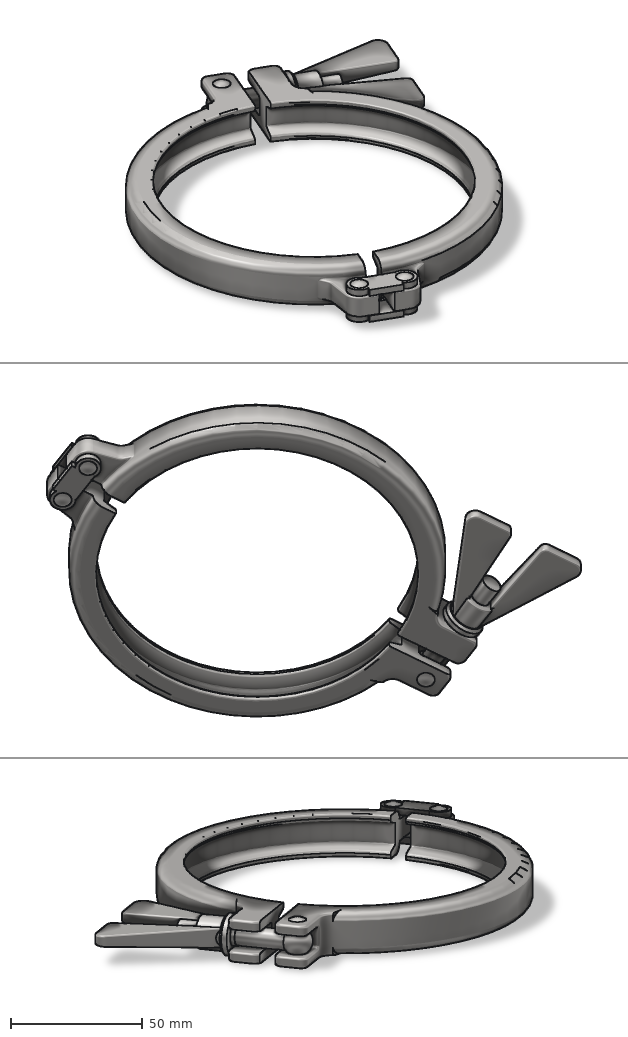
import cadquery as cq
import math

LENGTH = 194.6

RING_R = 143.5 / 2
RING_HALF_H = 8.5
RIM_ROUND_W = 4.3
RIM_ROUND_H = 3.3
BORE_R = 61.3
BORE_ROUND = 0.8
GROOVE_R = 66.8
GROOVE_FLOOR_HALF_H = 4.3
GROOVE_MOUTH_HALF_H = 6.0
GROOVE_FLOOR_R = 0.8
GROOVE_MOUTH_R = 1.2
GAP_HALF = 3.1

LUG_END_X = -90.0
LUG_TOP_Y = 16.0
LUG_CORNER_R = 3.0
LUG_GAP_CORNER_R = 3.7
LUG_OVERRUN = 0.8
LUG_EDGE_R = 1.2
LUG_BLEND_X = -73.8
LUG_ROOT_X = -64.0
LUG_ROOT_Y = 21.0
SLOT_HALF = 4.3
SLOT_END_X = -74.5
SLOT_END_R = 1.4
SLOT_EDGE_R = 1.0

HINGE_X = 81.5
HINGE_Y = 9.1
HINGE_LUG_R = 6.0
HINGE_HALF_H = 4.3
HINGE_SHOULDER_X = 72.2
HINGE_SHOULDER_Y = 17.5
HINGE_SHOULDER_R = 3.9
HINGE_RING_Y = 21.5
HINGE_EDGE_R = 0.8
HINGE_ROOT_R = 0.8

PIN_R = 6.8 / 2
PIN_DOME = 1.07

LINK_R = 4.9
LINK_T = 2.7
LINK_WAIST_X0 = 77.3
LINK_WAIST_X1 = 87.4

BOLT_X = -81.7
BOLT_R = 8.0 / 2
BOLT_PIVOT_Y = -9.7
BOLT_END_Y = 37.8
EYE_R = 5.8
COLLAR_L = 1.8
FLANGE_R = 16.5 / 2
FLANGE_T = 3.3
FLANGE_BEVEL = 1.2
BARREL_R = 13.5 / 2
BARREL_END_Y = 29.4
BARREL_ROUND = 0.8

WING_ROOT_Y = LUG_TOP_Y + FLANGE_T - FLANGE_BEVEL
WING_TOP_Y = 64.2
WING_LEAN = math.radians(25.7)
WING_OUTER_R = 3.9
WING_INNER_R = 2.5
WING_INNER_TOP = 6.8
WING_INNER_LOW = 4.7
WING_TOP_HALF_T = 2.1
WING_ROOT_HALF_T = 4.0
WING_EDGE_R = 0.8

WING_REACH = LENGTH - (HINGE_X + HINGE_LUG_R) + BOLT_X
WING_CORNER_SETBACK = WING_OUTER_R / math.tan((math.pi / 2 - WING_LEAN) / 2)
WING_OUTER_TOP = WING_REACH + WING_CORNER_SETBACK - WING_OUTER_R
WING_OUTER_ROOT = WING_OUTER_TOP - (WING_TOP_Y - WING_ROOT_Y) * math.tan(WING_LEAN)

PICK = 0.2
REACH = 2 * RING_R


def block(x0, x1, y0, y1, z0, z1):
    """Axis-aligned box between the given limits."""
    return cq.Workplane("XY").box(x1 - x0, y1 - y0, z1 - z0, centered=False).translate((x0, y0, z0))


def edge_box(x0, x1, y0, y1, half_z):
    """Selector for edges whose centre lies in a box, symmetric in Z and grown by a small margin."""
    return cq.selectors.BoxSelector((x0 - PICK, y0 - PICK, -half_z - PICK), (x1 + PICK, y1 + PICK, half_z + PICK))


def on_circle(x, y, radius, angle):
    """Point on a circle around (x, y)."""
    return (x + radius * math.cos(angle), y + radius * math.sin(angle))


def upper_half():
    """Everything beyond the gap on the +Y side."""
    return block(-REACH, REACH, GAP_HALF, REACH, -REACH, REACH)


def pin(x, y, half_length):
    """Round pin along Z with a shallow dome standing out at each end."""
    tip = half_length + PIN_DOME
    dome_r = (PIN_R**2 + PIN_DOME**2) / (2 * PIN_DOME)
    half_angle = math.asin(PIN_R / dome_r) / 2
    mid_r = dome_r * math.sin(half_angle)
    mid_z = tip - dome_r * (1 - math.cos(half_angle))
    return (
        cq.Workplane("XZ")
        .moveTo(0, -tip)
        .threePointArc((mid_r, -mid_z), (PIN_R, -half_length))
        .lineTo(PIN_R, half_length)
        .threePointArc((mid_r, mid_z), (0, tip))
        .close()
        .revolve(360, (0, 0, 0), (0, 1, 0))
        .translate((x, y, 0))
    )



def ring():
    """Solid disc whose rims curve down from the flat faces and meet the outside at a crease."""
    round_r = (RIM_ROUND_W**2 + RIM_ROUND_H**2) / (2 * RIM_ROUND_H)
    half_angle = math.asin(RIM_ROUND_W / round_r) / 2
    flat_r = RING_R - RIM_ROUND_W
    mid_r = flat_r + round_r * math.sin(half_angle)
    mid_z = RING_HALF_H - round_r * (1 - math.cos(half_angle))
    crease_z = RING_HALF_H - RIM_ROUND_H
    return (
        cq.Workplane("XZ")
        .moveTo(0, -RING_HALF_H)
        .lineTo(flat_r, -RING_HALF_H)
        .threePointArc((mid_r, -mid_z), (RING_R, -crease_z))
        .lineTo(RING_R, crease_z)
        .threePointArc((mid_r, mid_z), (flat_r, RING_HALF_H))
        .lineTo(0, RING_HALF_H)
        .close()
        .revolve(360, (0, 0, 0), (0, 1, 0))
    )


def bore():
    """Inside of the ring: flared rims, and a groove with sloping flanks and rounded edges."""
    rim_r = BORE_R + BORE_ROUND
    rim_z = RING_HALF_H - BORE_ROUND
    bend = BORE_ROUND * math.sqrt(0.5)
    body = (
        cq.Workplane("XZ")
        .moveTo(0, -RING_HALF_H)
        .lineTo(rim_r, -RING_HALF_H)
        .threePointArc((rim_r - bend, -rim_z - bend), (BORE_R, -rim_z))
        .lineTo(BORE_R, -GROOVE_MOUTH_HALF_H)
        .lineTo(GROOVE_R, -GROOVE_FLOOR_HALF_H)
        .lineTo(GROOVE_R, GROOVE_FLOOR_HALF_H)
        .lineTo(BORE_R, GROOVE_MOUTH_HALF_H)
        .lineTo(BORE_R, rim_z)
        .threePointArc((rim_r - bend, rim_z + bend), (rim_r, RING_HALF_H))
        .lineTo(0, RING_HALF_H)
        .close()
        .revolve(360, (0, 0, 0), (0, 1, 0))
    )
    for half_h, rounding in (
        (GROOVE_FLOOR_HALF_H, GROOVE_FLOOR_R),
        (GROOVE_MOUTH_HALF_H, GROOVE_MOUTH_R),
    ):
        for z in (half_h, -half_h):
            groove_edge = cq.selectors.NearestToPointSelector((0, 0, z))
            body = body.edges("%CIRCLE").edges(groove_edge).fillet(rounding)
    return body


def clamp_lug():
    """Forked lug whose outer side curves tangentially into the ring."""
    blend_r = (LUG_BLEND_X**2 + LUG_TOP_Y**2 - RING_R**2) / (2 * (RING_R - LUG_TOP_Y))
    blend_y = LUG_TOP_Y + blend_r
    blend_direction = math.atan2(blend_y, LUG_BLEND_X)
    touch = on_circle(0, 0, RING_R, blend_direction)
    mid_angle = (blend_direction - math.pi - math.pi / 2) / 2
    blend_mid = on_circle(LUG_BLEND_X, blend_y, blend_r, mid_angle)
    near_y = GAP_HALF - LUG_OVERRUN
    lug = (
        cq.Workplane("XY")
        .moveTo(LUG_ROOT_X, near_y)
        .lineTo(LUG_END_X, near_y)
        .lineTo(LUG_END_X, LUG_TOP_Y)
        .lineTo(LUG_BLEND_X, LUG_TOP_Y)
        .threePointArc(blend_mid, touch)
        .lineTo(LUG_ROOT_X, LUG_ROOT_Y)
        .close()
        .extrude(RING_HALF_H, both=True)
    )
    lug = lug.edges("|Z and <X").edges(">Y").fillet(LUG_CORNER_R)
    lug = lug.edges("|Z and <X").fillet(LUG_GAP_CORNER_R)
    lug = lug.faces("<X").edges("|Y").fillet(LUG_EDGE_R)

    slot = block(-REACH, SLOT_END_X, -REACH, REACH, -SLOT_HALF, SLOT_HALF)
    lug = lug.cut(slot.edges("|Y and >X").fillet(SLOT_END_R))
    slot_mouth = edge_box(LUG_END_X, LUG_END_X, near_y, LUG_TOP_Y, SLOT_HALF)
    lug = lug.edges("|Y").edges(slot_mouth).fillet(SLOT_EDGE_R)
    return lug.intersect(upper_half())


def hinge_lug():
    """Flat knuckle around the hinge pin, with a sloping side that runs into the ring."""
    dx = HINGE_SHOULDER_X - HINGE_X
    dy = HINGE_SHOULDER_Y - HINGE_Y
    tangent_angle = math.atan2(dy, dx) - math.acos(HINGE_LUG_R / math.hypot(dx, dy))
    end_x = HINGE_X + HINGE_LUG_R
    lug = (
        cq.Workplane("XY")
        .moveTo(GROOVE_R, 0)
        .lineTo(end_x, 0)
        .lineTo(end_x, HINGE_Y)
        .threePointArc(
            on_circle(HINGE_X, HINGE_Y, HINGE_LUG_R, tangent_angle / 2),
            on_circle(HINGE_X, HINGE_Y, HINGE_LUG_R, tangent_angle),
        )
        .lineTo(HINGE_SHOULDER_X, HINGE_SHOULDER_Y)
        .lineTo(math.sqrt(RING_R**2 - HINGE_RING_Y**2), HINGE_RING_Y)
        .lineTo(GROOVE_R, HINGE_RING_Y)
        .close()
        .extrude(HINGE_HALF_H, both=True)
    )
    shoulder = edge_box(HINGE_SHOULDER_X, HINGE_SHOULDER_X, HINGE_SHOULDER_Y, HINGE_SHOULDER_Y, HINGE_HALF_H)
    lug = lug.edges("|Z").edges(shoulder).fillet(HINGE_SHOULDER_R)
    lug = lug.faces("<Z or >Z").edges(">X").fillet(HINGE_EDGE_R)
    return lug.intersect(upper_half()).cut(pin(HINGE_X, HINGE_Y, HINGE_HALF_H))


def jaw():
    """Half of the clamp on the +Y side."""
    body = ring().intersect(upper_half()).union(clamp_lug()).union(hinge_lug())
    lug_roots = edge_box(GROOVE_R, RING_R, GAP_HALF, HINGE_SHOULDER_Y, HINGE_HALF_H)
    body = body.edges("%CIRCLE").edges(lug_roots).fillet(HINGE_ROOT_R)
    return body.cut(bore())


def drilled_jaw():
    """Mirrored jaw with a hole for the pivot of the swing bolt."""
    return jaw().mirror("XZ").cut(pin(BOLT_X, BOLT_PIVOT_Y, RING_HALF_H))



def link():
    """Two plates, above and below the hinge lugs, joined by the two hinge pins."""
    half_h = HINGE_HALF_H + LINK_T
    body = pin(HINGE_X, HINGE_Y, half_h).union(pin(HINGE_X, -HINGE_Y, half_h))
    waist_half_l = math.sqrt(LINK_R**2 - (HINGE_X - LINK_WAIST_X0) ** 2)
    waist_end_y = HINGE_Y - waist_half_l
    for z in (HINGE_HALF_H, -half_h):
        waist = block(LINK_WAIST_X0, LINK_WAIST_X1, -waist_end_y, waist_end_y, z, z + LINK_T)
        ends = (
            cq.Workplane("XY", origin=(HINGE_X, 0, z))
            .pushPoints([(0, HINGE_Y), (0, -HINGE_Y)])
            .circle(LINK_R)
            .extrude(LINK_T)
        )
        body = body.union(waist).union(ends)
    return body



def rod(radius, y0, y1):
    """Cylinder on the bolt axis."""
    return cq.Workplane("XZ", origin=(BOLT_X, y0, 0)).circle(radius).extrude(y0 - y1)


def eye():
    """Ball around the pivot, flattened to the height of the slot."""
    ball = cq.Workplane("XY").sphere(EYE_R).translate((BOLT_X, BOLT_PIVOT_Y, 0))
    return ball.intersect(block(-REACH, REACH, -REACH, REACH, -SLOT_HALF, SLOT_HALF))


def wing():
    """Wing on the +X side of a bolt axis at X = 0, thinning towards its free end."""
    blade = (
        cq.Workplane("XY")
        .polyline([
            (0, WING_ROOT_Y),
            (WING_OUTER_ROOT, WING_ROOT_Y),
            (WING_OUTER_TOP, WING_TOP_Y),
            (WING_INNER_TOP, WING_TOP_Y),
            (WING_INNER_LOW, BARREL_END_Y),
            (0, BARREL_END_Y - WING_INNER_LOW),
        ])
        .close()
        .extrude(WING_ROOT_HALF_T, both=True)
    )
    blade = blade.edges("|Z and >X").fillet(WING_OUTER_R)
    inner_corner = cq.selectors.NearestToPointSelector((WING_INNER_TOP, WING_TOP_Y, 0))
    blade = blade.edges("|Z").edges(inner_corner).fillet(WING_INNER_R)
    taper = (
        cq.Workplane("YZ")
        .polyline([
            (WING_ROOT_Y, -WING_ROOT_HALF_T),
            (WING_TOP_Y, -WING_TOP_HALF_T),
            (WING_TOP_Y, WING_TOP_HALF_T),
            (WING_ROOT_Y, WING_ROOT_HALF_T),
        ])
        .close()
        .extrude(WING_OUTER_TOP)
    )
    free_edges = edge_box(0, WING_OUTER_TOP, BARREL_END_Y, WING_TOP_Y, WING_ROOT_HALF_T)
    return blade.intersect(taper).faces("<Z or >Z").edges(free_edges).fillet(WING_EDGE_R)


def wing_nut():
    """Collar, bevelled flange and barrel with two wings."""
    collar = rod(SLOT_HALF, LUG_TOP_Y - COLLAR_L, LUG_TOP_Y)
    flange = rod(FLANGE_R, LUG_TOP_Y, LUG_TOP_Y + FLANGE_T).faces(">Y").chamfer(FLANGE_BEVEL)
    barrel = rod(BARREL_R, LUG_TOP_Y, BARREL_END_Y).faces(">Y").edges().fillet(BARREL_ROUND)
    body = collar.union(flange).union(barrel)
    right_wing = wing()
    for side in (right_wing, right_wing.mirror("YZ")):
        body = body.union(side.translate((BOLT_X, 0, 0)))
    return body


def swing_bolt():
    """Eye bolt with its pivot pin and wing nut, as one solid."""
    shank = rod(BOLT_R, BOLT_PIVOT_Y, BOLT_END_Y)
    pivot = pin(BOLT_X, BOLT_PIVOT_Y, RING_HALF_H)
    return eye().union(pivot).union(shank).union(wing_nut())


plain_jaw = jaw()
pivot_jaw = drilled_jaw()
hinge_link = link()
bolt = swing_bolt()

result = cq.Compound.makeCompound([
    plain_jaw.val(),
    pivot_jaw.val(),
    hinge_link.val(),
    bolt.val(),
])